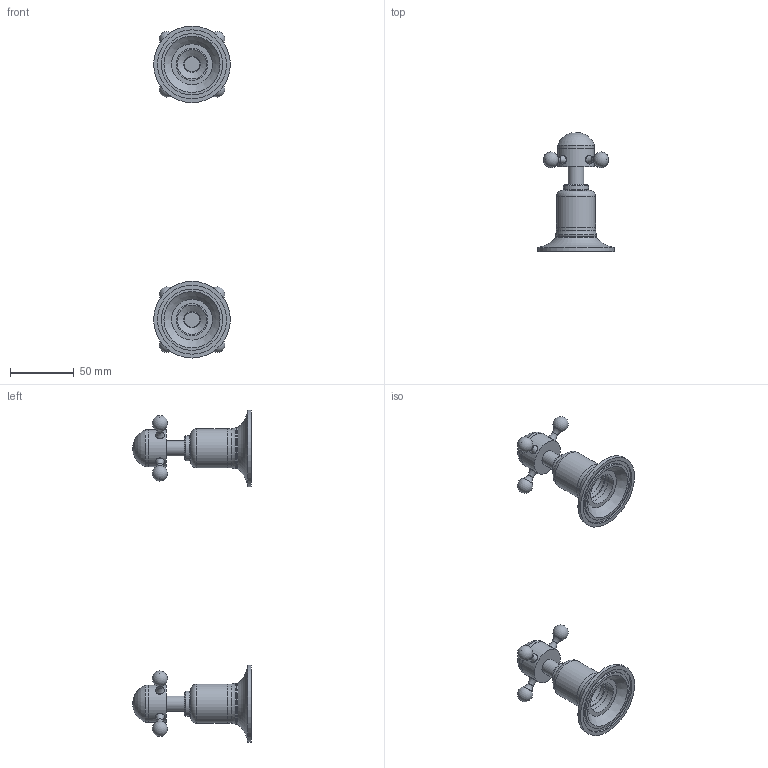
import cadquery as cq
import math

tap_spacing = 200.0

flange_radius = 30.0
rim_thickness = 2.8
flare_height = 10.8
flange_height = 11.6
neck_radius = 16.0
flare_mid_radius = 21.0
flare_mid_height = 6.2
groove_outer_radius = 27.0
groove_inner_radius = 24.0
groove_depth = 1.5
mouth_radius = 22.0
floor_radius = 16.0
floor_depth = 6.0
bore_radius = 12.5

barrel_radius = 15.3
foot_top = 12.8
foot_chamfer = 0.3
foot_mid_radius = 15.6
foot_mid_height = 14.2
waist_bottom = 15.8
waist_bottom_radius = 15.4
waist_top = 18.8
shoulder_height = 47.5
shoulder_fillet = 4.5
collar_radius = 9.8
collar_root_fillet = 0.8
collar_top = 52.5
collar_chamfer = 1.3
collar_chamfer_width = 0.8
barrel_bore_radius = 11.5
bore_step = 15.0
cone_start = 18.3
cone_end = 21.8
spindle_recess_radius = 6.4
spindle_recess_depth = 0.5

spindle_radius = 6.0

hub_radius = 14.4
cap_radius = 14.5
hub_bottom = 66.5
hub_top = 80.6
cap_band_top = 83.0
cap_top = 93.0
arm_count = 4
first_arm_angle = 45.0
arm_height = 71.6
ball_radius = 6.0
ball_distance = 27.8
arm_root_radius = 3.4
arm_waist_radius = 2.3
arm_waist_distance = 19.2
arm_tip_radius = 4.0
arm_sag = 0.25

full_turn = 360
axis_start = (0, 0, 0)
axis_end = (0, 1, 0)
arm_axis_end = (1, 0, 0)


def revolved(profile):
    """Close a (radius, height) profile and turn it about the tap axis."""
    return profile.close().revolve(full_turn, axis_start, axis_end)


def make_flange():
    """Flared flange with a grooved wall face, a tapered mouth and a through bore."""
    outline = (
        cq.Workplane("XY")
        .moveTo(mouth_radius, 0)
        .lineTo(groove_inner_radius, 0)
        .lineTo(groove_inner_radius, groove_depth)
        .lineTo(groove_outer_radius, groove_depth)
        .lineTo(groove_outer_radius, 0)
        .lineTo(flange_radius, 0)
        .lineTo(flange_radius, rim_thickness)
        .threePointArc(
            (flare_mid_radius, flare_mid_height),
            (neck_radius, flare_height),
        )
        .lineTo(neck_radius, flange_height)
        .lineTo(bore_radius, flange_height)
        .lineTo(bore_radius, floor_depth)
        .lineTo(floor_radius, floor_depth)
    )
    return revolved(outline)


def make_barrel():
    """Hollow barrel with a flared foot, a rounded shoulder and a collar round the spindle."""
    root_radius = collar_radius + collar_root_fillet
    diagonal = math.sqrt(0.5)
    shoulder_centre = (barrel_radius - shoulder_fillet, shoulder_height - shoulder_fillet)
    shoulder_mid = (
        shoulder_centre[0] + shoulder_fillet * diagonal,
        shoulder_centre[1] + shoulder_fillet * diagonal,
    )
    root_mid = (
        root_radius - collar_root_fillet * diagonal,
        shoulder_height + collar_root_fillet * (1 - diagonal),
    )
    outline = (
        cq.Workplane("XY")
        .moveTo(bore_radius, flange_height)
        .lineTo(neck_radius - foot_chamfer, flange_height)
        .lineTo(neck_radius, foot_top)
        .threePointArc((foot_mid_radius, foot_mid_height), (waist_bottom_radius, waist_bottom))
        .lineTo(barrel_radius, waist_top)
        .lineTo(barrel_radius, shoulder_centre[1])
        .threePointArc(shoulder_mid, (shoulder_centre[0], shoulder_height))
        .lineTo(root_radius, shoulder_height)
        .threePointArc(root_mid, (collar_radius, shoulder_height + collar_root_fillet))
        .lineTo(collar_radius, collar_top - collar_chamfer)
        .lineTo(collar_radius - collar_chamfer_width, collar_top)
        .lineTo(spindle_radius, collar_top)
        .lineTo(spindle_radius, cone_end + spindle_recess_depth)
        .lineTo(spindle_recess_radius, cone_end + spindle_recess_depth)
        .lineTo(spindle_recess_radius, cone_end)
        .lineTo(barrel_bore_radius, cone_start)
        .lineTo(barrel_bore_radius, bore_step)
        .lineTo(bore_radius, bore_step)
    )
    return revolved(outline)


def make_spindle():
    """Plain rod from the bottom of the barrel bore to the underside of the hub."""
    outline = (
        cq.Workplane("XY")
        .moveTo(0, cone_end)
        .lineTo(spindle_radius, cone_end)
        .lineTo(spindle_radius, hub_bottom)
        .lineTo(0, hub_bottom)
    )
    return revolved(outline)


def make_arm():
    """One arm along +X: a waisted neck that ends in a ball."""
    tip_distance = ball_distance - math.sqrt(ball_radius**2 - arm_tip_radius**2)
    root_mid = (
        (hub_radius + arm_waist_distance) / 2,
        arm_waist_radius + arm_sag * (arm_root_radius - arm_waist_radius),
    )
    tip_mid = (
        (arm_waist_distance + tip_distance) / 2,
        arm_waist_radius + arm_sag * (arm_tip_radius - arm_waist_radius),
    )
    return (
        cq.Workplane("XY")
        .moveTo(0, 0)
        .lineTo(0, arm_root_radius)
        .lineTo(hub_radius, arm_root_radius)
        .threePointArc(root_mid, (arm_waist_distance, arm_waist_radius))
        .threePointArc(tip_mid, (tip_distance, arm_tip_radius))
        .threePointArc((ball_distance, ball_radius), (ball_distance + ball_radius, 0))
        .close()
        .revolve(full_turn, axis_start, arm_axis_end)
        .translate((0, arm_height, 0))
    )


def make_handle():
    """Round hub with its crossed arms."""
    outline = (
        cq.Workplane("XY")
        .moveTo(0, hub_bottom)
        .lineTo(hub_radius, hub_bottom)
        .lineTo(hub_radius, hub_top)
        .lineTo(0, hub_top)
    )
    handle = revolved(outline)
    arm = make_arm()
    for index in range(arm_count):
        angle = first_arm_angle + index * full_turn / arm_count
        handle = handle.union(arm.rotate(axis_start, axis_end, angle))
    return handle


def make_cap():
    """Short band topped by a shallow spherical dome."""
    dome_rise = cap_top - cap_band_top
    dome_radius = (cap_radius**2 + dome_rise**2) / (2 * dome_rise)
    half_angle = math.asin(cap_radius / dome_radius) / 2
    dome_mid = (
        dome_radius * math.sin(half_angle),
        cap_top - dome_radius * (1 - math.cos(half_angle)),
    )
    outline = (
        cq.Workplane("XY")
        .moveTo(0, hub_top)
        .lineTo(cap_radius, hub_top)
        .lineTo(cap_radius, cap_band_top)
        .threePointArc(dome_mid, (0, cap_top))
    )
    return revolved(outline)


tap_parts = [make_flange(), make_barrel(), make_spindle(), make_handle(), make_cap()]

bodies = []
for tap_z in (-tap_spacing / 2, tap_spacing / 2):
    for tap_part in tap_parts:
        bodies.append(tap_part.translate((0, 0, tap_z)).val())

result = cq.Compound.makeCompound(bodies)